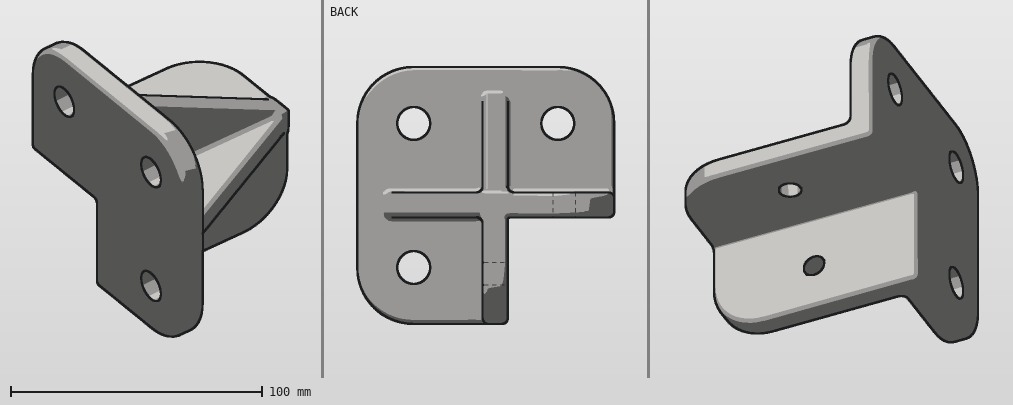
import cadquery as cq

size = 102.5
depth = 90.0
thickness = 10.0
notch = 42.4
corner_radius = 22.5
gusset_reach = 40.0
mount_hole_dia = 13.0
shelf_hole_dia = 9.0
shelf_hole_inset = 20.0
shelf_hole_depth = 45.0
edge_radius = 2.5
notch_radius = 0.7

shelf_far_side = notch + thickness
gusset_tip = shelf_far_side + gusset_reach
far_hole = size - corner_radius

level_plane = cq.Plane(origin=(0, 0, notch), xDir=(1, 0, 0), normal=(0, 0, 1))
upright_plane = cq.Plane(origin=(shelf_far_side, 0, 0), xDir=(0, 0, 1), normal=(-1, 0, 0))
shelf_planes = (level_plane, upright_plane)


def mounting_plate():
    """L-shaped plate standing on the Y = 0 face."""
    square = cq.Workplane("XY").box(size, thickness, size, centered=False)
    square = square.edges("|Y").fillet(corner_radius)
    cut_out = cq.Workplane("XY").box(notch, thickness, notch, centered=False)
    return square.cut(cut_out)


def shelf(plane):
    """Shelf with one rounded rear corner, tapering to a gusset past the other shelf."""
    outline = (
        cq.Workplane(plane)
        .lineTo(gusset_tip, 0)
        .lineTo(gusset_tip, thickness)
        .lineTo(shelf_far_side, depth)
        .lineTo(corner_radius, depth)
        .radiusArc((0, depth - corner_radius), -corner_radius)
        .close()
    )
    return outline.extrude(thickness)


def round_edges(body):
    """Round the cut-out corner first, then every other edge."""
    cut_out_corner = cq.selectors.NearestToPointSelector((notch, depth / 2, notch))
    body = body.edges("|Y").edges(cut_out_corner).fillet(notch_radius)
    return body.edges().fillet(edge_radius)


def mounting_holes():
    """Three through holes on the centres of the mounting plate's round corners."""
    centers = [(corner_radius, far_hole), (far_hole, far_hole), (far_hole, corner_radius)]
    holes = cq.Workplane("XZ").pushPoints(centers).circle(mount_hole_dia / 2)
    return holes.extrude(-thickness)


def shelf_hole(plane):
    """Through hole in a shelf."""
    hole = cq.Workplane(plane).center(shelf_hole_inset, shelf_hole_depth).circle(shelf_hole_dia / 2)
    return hole.extrude(thickness)


bracket = mounting_plate()
for shelf_plane in shelf_planes:
    bracket = bracket.union(shelf(shelf_plane))
bracket = round_edges(bracket.clean())

bracket = bracket.cut(mounting_holes())
for shelf_plane in shelf_planes:
    bracket = bracket.cut(shelf_hole(shelf_plane))

result = bracket